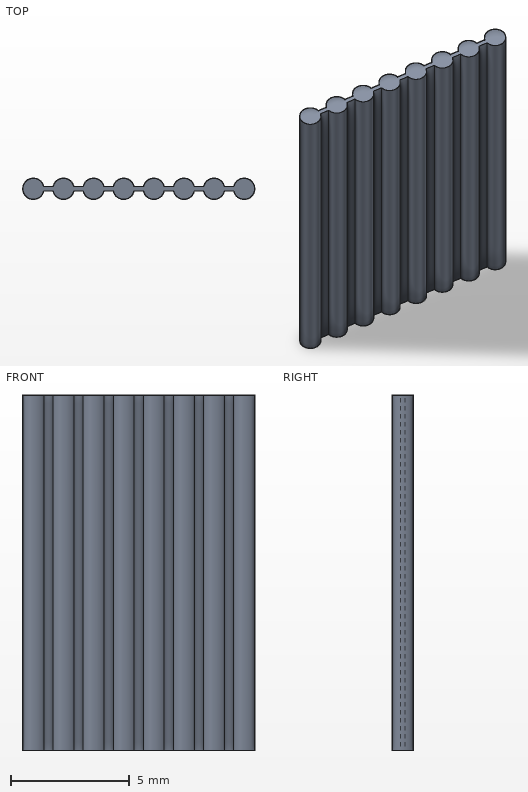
import cadquery as cq

wire_count = 8
wire_diameter = 0.9
ribbon_width = 9.8
ribbon_length = 15.0
web_thickness = 0.2

axis_span = ribbon_width - wire_diameter
wire_pitch = axis_span / (wire_count - 1)


def make_wires():
    """Round wires in one row along X, centred on the origin."""
    return (
        cq.Workplane("XY")
        .rarray(wire_pitch, 0.15, wire_count, 1)
        .circle(wire_diameter / 2)
        .extrude(ribbon_length)
    )


def make_web():
    """Thin sheet through all wire axes, filling the gaps between wires."""
    return cq.Workplane("XY").rect(axis_span, web_thickness).extrude(ribbon_length)


result = make_wires().union(make_web())